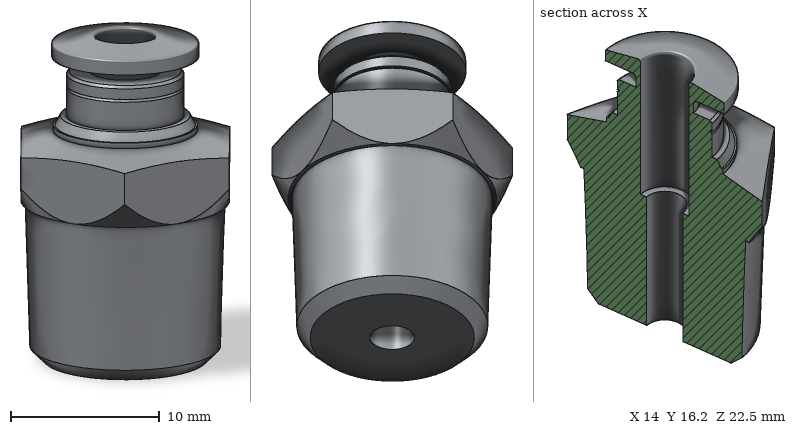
import cadquery as cq
import math

STEM_CHAMFER = 0.9
HEX_BOTTOM = 11.0
HEX_TOP = 15.9
COLLAR_STEP = 16.28
COLLAR_TOP = 16.92
RING_BOTTOM = 19.07
SLEEVE_TOP = 20.0
FLANGE_BOTTOM = 21.05
OVERALL_HEIGHT = 22.5

ACROSS_FLATS = 14.0
HEX_SIDES = 6
HALF_SIDE_ANGLE = 180 / HEX_SIDES
ACROSS_CORNERS = ACROSS_FLATS / math.cos(math.radians(HALF_SIDE_ANGLE))
TOP_CONE_ANGLE = 15.0
BOTTOM_CONE_ANGLE = 60.0
ENVELOPE_MARGIN = 1.0

STEM_TOP_RADIUS = 6.73
STEM_TAPER = 1 / 32
STEM_TIP_RADIUS = STEM_TOP_RADIUS - (HEX_BOTTOM - STEM_CHAMFER) * STEM_TAPER

COLLAR_RADIUS = 9.7 / 2
COLLAR_SHOULDER_RADIUS = 4.72
COLLAR_TOP_RADIUS = 4.36

SLEEVE_RADIUS = 7.9 / 2
SLEEVE_RIM_RADIUS = 7.52 / 2
SLEEVE_CHAMFER = SLEEVE_RADIUS - SLEEVE_RIM_RADIUS

NECK_RADIUS = 4.8 / 2
NECK_FILLET = 0.35
FLANGE_RADIUS = 9.9 / 2
FLANGE_EDGE_FILLET = 0.2
FLANGE_CONE_ANGLE = 10.0

TUBE_RADIUS = 4.0 / 2
TUBE_MOUTH_FILLET = 0.25
TUBE_STOP_HEIGHT = HEX_BOTTOM
PASSAGE_RADIUS = 3.0 / 2


def cone_drop(start_radius, end_radius, angle):
    """Height change of a cone, inclined by angle to horizontal, between two radii."""
    return (end_radius - start_radius) * math.tan(math.radians(angle))


def make_hexagon():
    """Hexagon with corners on the Y axis, trimmed by a cone at each end."""
    height = HEX_TOP - HEX_BOTTOM
    prism = (
        cq.Workplane("XY")
        .workplane(offset=HEX_BOTTOM)
        .polygon(HEX_SIDES, ACROSS_CORNERS)
        .extrude(height)
        .rotate((0, 0, 0), (0, 0, 1), HALF_SIDE_ANGLE)
    )
    flat_radius = ACROSS_FLATS / 2
    outer_radius = ACROSS_CORNERS / 2 + ENVELOPE_MARGIN
    lower_edge = HEX_BOTTOM + cone_drop(flat_radius, outer_radius, BOTTOM_CONE_ANGLE)
    upper_edge = HEX_TOP - cone_drop(COLLAR_RADIUS, outer_radius, TOP_CONE_ANGLE)
    envelope = (
        cq.Workplane("XZ")
        .moveTo(0, HEX_BOTTOM)
        .lineTo(flat_radius, HEX_BOTTOM)
        .lineTo(outer_radius, lower_edge)
        .lineTo(outer_radius, upper_edge)
        .lineTo(COLLAR_RADIUS, HEX_TOP)
        .lineTo(0, HEX_TOP)
        .close()
        .revolve(360, (0, 0, 0), (0, 1, 0))
    )
    return prism.intersect(envelope)


def make_turned_body():
    """Stem, collar, sleeve and release button as one revolved profile."""
    slope = math.radians(FLANGE_CONE_ANGLE)
    mouth_center_height = OVERALL_HEIGHT - TUBE_MOUTH_FILLET
    mouth_radius = TUBE_RADIUS + TUBE_MOUTH_FILLET * (1 + math.sin(slope))
    mouth_height = mouth_center_height + TUBE_MOUTH_FILLET * math.cos(slope)
    edge_radius = FLANGE_RADIUS - FLANGE_EDGE_FILLET * (1 - math.sin(slope))
    edge_height = mouth_height - cone_drop(mouth_radius, edge_radius, FLANGE_CONE_ANGLE)
    rim_top = edge_height - FLANGE_EDGE_FILLET * math.cos(slope)
    return (
        cq.Workplane("XZ")
        .moveTo(0, 0)
        .lineTo(STEM_TIP_RADIUS - STEM_CHAMFER, 0)
        .lineTo(STEM_TIP_RADIUS, STEM_CHAMFER)
        .lineTo(STEM_TOP_RADIUS, HEX_BOTTOM)
        .lineTo(COLLAR_RADIUS, HEX_BOTTOM)
        .lineTo(COLLAR_RADIUS, COLLAR_STEP)
        .lineTo(COLLAR_SHOULDER_RADIUS, COLLAR_STEP)
        .lineTo(COLLAR_TOP_RADIUS, COLLAR_TOP)
        .lineTo(SLEEVE_RADIUS, COLLAR_TOP)
        .lineTo(SLEEVE_RADIUS, RING_BOTTOM - SLEEVE_CHAMFER)
        .lineTo(SLEEVE_RIM_RADIUS, RING_BOTTOM)
        .lineTo(SLEEVE_RADIUS, RING_BOTTOM)
        .lineTo(SLEEVE_RADIUS, SLEEVE_TOP - SLEEVE_CHAMFER)
        .lineTo(SLEEVE_RIM_RADIUS, SLEEVE_TOP)
        .lineTo(NECK_RADIUS, SLEEVE_TOP)
        .lineTo(NECK_RADIUS, FLANGE_BOTTOM - NECK_FILLET)
        .radiusArc((NECK_RADIUS + NECK_FILLET, FLANGE_BOTTOM), NECK_FILLET)
        .lineTo(FLANGE_RADIUS, FLANGE_BOTTOM)
        .lineTo(FLANGE_RADIUS, rim_top)
        .radiusArc((edge_radius, edge_height), -FLANGE_EDGE_FILLET)
        .lineTo(mouth_radius, mouth_height)
        .radiusArc((TUBE_RADIUS, mouth_center_height), -TUBE_MOUTH_FILLET)
        .lineTo(0, mouth_center_height)
        .close()
        .revolve(360, (0, 0, 0), (0, 1, 0))
    )


def make_bore():
    """Tube socket above a narrower through passage."""
    passage = cq.Workplane("XY").circle(PASSAGE_RADIUS).extrude(OVERALL_HEIGHT)
    socket = (
        cq.Workplane("XY")
        .workplane(offset=TUBE_STOP_HEIGHT)
        .circle(TUBE_RADIUS)
        .extrude(OVERALL_HEIGHT - TUBE_STOP_HEIGHT)
    )
    return passage.union(socket)


result = make_turned_body().union(make_hexagon()).cut(make_bore())